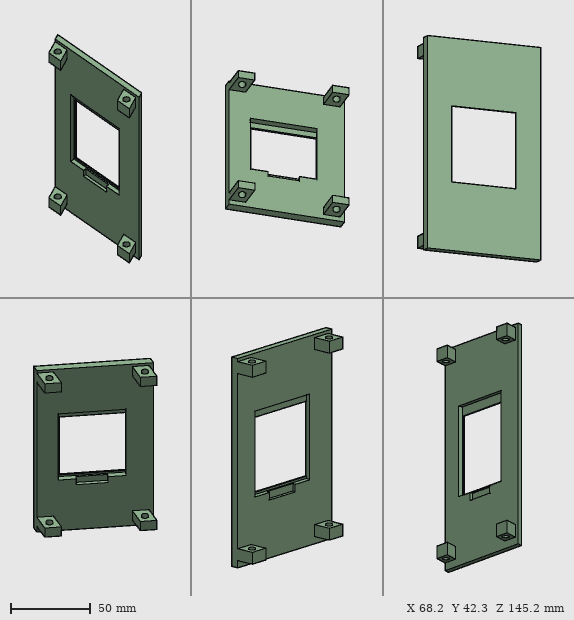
import cadquery as cq
import math

height = 145.2
width_x = 68.2
tilt_deg = 22.5
plate_thickness = 4.0
tilt = math.radians(tilt_deg)
slope = math.tan(tilt)
plate_depth_y = plate_thickness / math.cos(tilt)

overall_depth_y = 42.3
right_tab_end = 65.5
tab_width = 9.7
tab_depth_y = overall_depth_y - plate_depth_y - right_tab_end * slope
tab_height = 8.3
lower_tab_z = 5.1
upper_tab_z = 134.7
hole_diameter = 4.5
hole_setback_y = 5.7

recess_start = 13.6
recess_end = 56.3
recess_bottom = 45.5
recess_top = 105.0
recess_depth = 3.0
ledge_side = 1.0
ledge_bottom = 1.5
ledge_top = 6.1

notch_start = 25.0
notch_end = 45.0
notch_bottom = 40.2
notch_depth = 2.0


def front_y(x):
    """Y of the plate's front face at the given X."""
    return -slope * x


def slanted_prism(x_start, x_end, y_offset, depth_y, z_bottom, z_size):
    """Prism following the plate's slope, with ends parallel to Y."""
    y_start = front_y(x_start) + y_offset
    y_end = front_y(x_end) + y_offset
    return (
        cq.Workplane("XY", origin=(0, 0, z_bottom))
        .moveTo(x_start, y_start)
        .lineTo(x_end, y_end)
        .lineTo(x_end, y_end + depth_y)
        .lineTo(x_start, y_start + depth_y)
        .close()
        .extrude(z_size)
    )


def face_cutter(start, end, bottom, top, depth):
    """Block sunk square into the front face, from its surface to the given depth."""
    block = cq.Workplane("XY").box(end - start, depth, top - bottom, centered=False)
    return block.translate((start, 0, bottom)).rotate((0, 0, 0), (0, 0, 1), -tilt_deg)


def drilled_tab(x_start, z_bottom):
    """Tab standing out from the front face, with a vertical hole through it."""
    x_hole = x_start + tab_width / 2
    tab = slanted_prism(x_start, x_start + tab_width, -tab_depth_y, tab_depth_y, z_bottom, tab_height)
    hole = (
        cq.Workplane("XY", origin=(x_hole, front_y(x_hole) - hole_setback_y, z_bottom))
        .circle(hole_diameter / 2)
        .extrude(tab_height)
    )
    return tab.cut(hole)


result = slanted_prism(0, width_x, 0, plate_depth_y, 0, height)

result = result.cut(face_cutter(recess_start, recess_end, recess_bottom, recess_top, recess_depth))
window = face_cutter(
    recess_start + ledge_side,
    recess_end,
    recess_bottom + ledge_bottom,
    recess_top - ledge_top,
    plate_thickness,
)
result = result.cut(window)

result = result.cut(face_cutter(notch_start, notch_end, notch_bottom, recess_bottom, notch_depth))

for tab_x in (0, right_tab_end - tab_width):
    for tab_z in (lower_tab_z, upper_tab_z):
        result = result.union(drilled_tab(tab_x, tab_z))